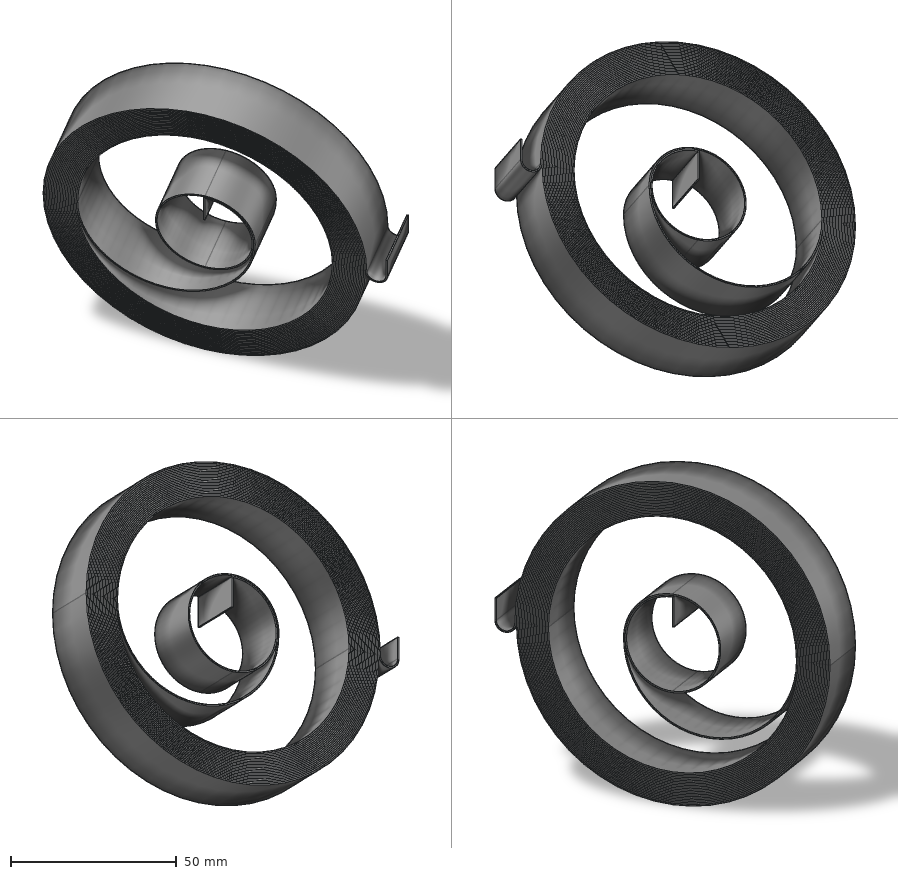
import cadquery as cq
import math


strip_width = 20.0
turn_pitch = 0.5
turn_clearance = 0.005
thickness = turn_pitch - turn_clearance
half_pitch = turn_pitch / 2

hub_radius = 15.0
tab_length = 10.0

ring_radius = 40.5
full_ring_turns = 21

hook_inner_radius = 3.0
hook_leg_top = 7.0

RIGHT, TOP, LEFT, BOTTOM = 0, 90, 180, 270
FULL_TURN = 360


def strip_arc(center_x, center_z, near_radius, start, end):
    """Stretch of strip whose axis-side face has near_radius; angles run from start to end."""
    return (center_x, center_z, near_radius, near_radius + thickness, start, end)


def hub_arcs():
    """Half turns about the axis; the left one is raised to step out by one pitch."""
    return [
        strip_arc(0, 0, hub_radius, TOP, BOTTOM - FULL_TURN),
        strip_arc(0, half_pitch, hub_radius + half_pitch, BOTTOM, TOP),
        strip_arc(0, 0, hub_radius + turn_pitch, TOP, RIGHT),
    ]


def connector_arc():
    """Half circle below the hub, from its right side to the left side of the ring."""
    right_end = hub_radius + turn_pitch
    left_end = -ring_radius
    radius = (right_end - left_end) / 2
    return strip_arc((right_end + left_end) / 2, 0, radius, RIGHT, -LEFT)


def ring_arcs():
    """Upper half turns about the axis, joined by lower ones shifted left by half a pitch."""
    arcs = []
    for turn in range(full_ring_turns):
        radius = ring_radius + turn * turn_pitch
        arcs.append(strip_arc(0, 0, radius, LEFT, RIGHT))
        arcs.append(strip_arc(-half_pitch, 0, radius + half_pitch, RIGHT, -LEFT))
    outer_radius = ring_radius + full_ring_turns * turn_pitch
    arcs.append(strip_arc(0, 0, outer_radius, LEFT, RIGHT))
    return arcs


def hook_arc():
    """Half circle turning outwards, so its axis-side face has the larger radius."""
    outside_of_ring = ring_radius + full_ring_turns * turn_pitch + thickness
    center_x = outside_of_ring + hook_inner_radius
    return (center_x, 0, hook_inner_radius + thickness, hook_inner_radius, LEFT, RIGHT + FULL_TURN)


def point_on(center_x, center_z, radius, angle):
    turn = math.radians(angle)
    return (center_x + radius * math.cos(turn), center_z + radius * math.sin(turn))


def draw_arc(sketch, center_x, center_z, radius, start, end):
    middle = point_on(center_x, center_z, radius, (start + end) / 2)
    return sketch.threePointArc(middle, point_on(center_x, center_z, radius, end))


def strip_profile():
    """Closed outline: out along the axis-side face, back along the other face."""
    arcs = hub_arcs() + [connector_arc()] + ring_arcs() + [hook_arc()]
    tab_end = hub_radius + thickness - tab_length

    sketch = cq.Workplane("XZ").moveTo(0, tab_end).lineTo(0, hub_radius)
    for center_x, center_z, near_radius, _, start, end in arcs:
        sketch = draw_arc(sketch, center_x, center_z, near_radius, start, end)

    hook_x, _, hook_outer, hook_inner, _, _ = arcs[-1]
    sketch = sketch.lineTo(hook_x + hook_outer, hook_leg_top)
    sketch = sketch.lineTo(hook_x + hook_inner, hook_leg_top)
    sketch = sketch.lineTo(hook_x + hook_inner, 0)

    for center_x, center_z, _, far_radius, start, end in reversed(arcs):
        sketch = draw_arc(sketch, center_x, center_z, far_radius, end, start)

    sketch = draw_arc(sketch, 0, hub_radius, thickness, TOP, LEFT)
    return sketch.lineTo(-thickness, tab_end).close()


result = strip_profile().extrude(strip_width / 2, both=True)